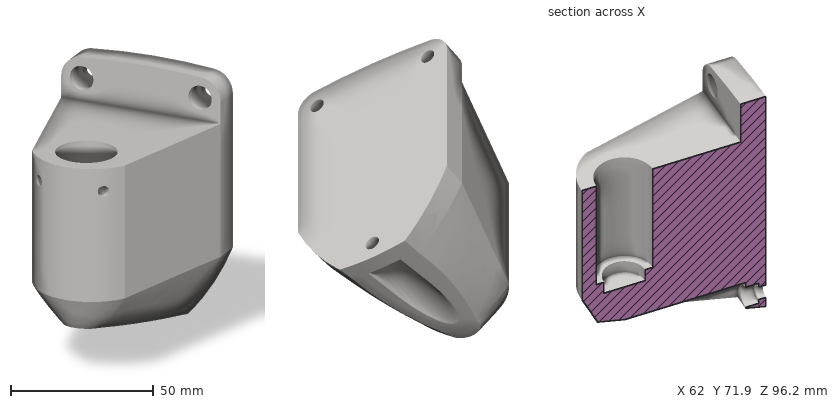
import cadquery as cq
import math


PLATE_WIDTH = 62.0
PLATE_THICKNESS = 10.0
PLATE_TOP = 67.3
PLATE_CROWN_RADIUS = 250.0
PLATE_CORNER_RADIUS = 8.0

BODY_HEIGHT = 50.0
BODY_PROJECTION = 71.94
NOSE_HALF_WIDTH = 18.0
NOSE_START = 61.7

UNDERSIDE_DROP = 28.94
UNDERSIDE_SLOPE = 14.0
UNDERSIDE_ARCH_RADIUS = 85.0
UNDERSIDE_LENGTH = 65.7
UNDERSIDE_BACK_HALF_WIDTH = 12.5
UNDERSIDE_PLATE_HALF_WIDTH = 12.1
UNDERSIDE_SIDE_HALF_WIDTH = 10.1
UNDERSIDE_SIDE_DISTANCE = 41.0
UNDERSIDE_NOSE_HALF_WIDTH = 5.8
UNDERSIDE_NOSE_START = 59.4
BACK_BULGE = 1.9
NOSE_BULGE = 1.1

SCREW_DIAMETER = 5.5
SCREW_HEAD_DIAMETER = 9.0
SCREW_SEAT = 3.0
UPPER_SCREW_Z = 58.5
LOWER_SCREW_Z = -21.8
POCKET_WIDTH = 13.2
POCKET_FLOOR = 8.0

SOCKET_DISTANCE = 55.2
SOCKET_DIAMETER = 22.0
SOCKET_DEPTH = 45.0
SOCKET_TIP_DIAMETER = 16.0
SOCKET_TIP_DEPTH = 5.0
SET_SCREW_DIAMETER = 4.0
SET_SCREW_Z = 41.5
SET_SCREW_ANGLE = 45.0

HALF_PLATE = PLATE_WIDTH / 2
CORNER_X = HALF_PLATE - PLATE_CORNER_RADIUS
CROWN_CENTRE_Z = PLATE_TOP - PLATE_CROWN_RADIUS
CORNER_REACH = PLATE_CROWN_RADIUS - PLATE_CORNER_RADIUS
CORNER_Z = CROWN_CENTRE_Z + math.sqrt(CORNER_REACH**2 - CORNER_X**2)
SLOPE_TANGENT = math.tan(math.radians(UNDERSIDE_SLOPE))


def make_plate():
    """Upright plate with a crowned top edge and rounded upper corners."""
    crown_tilt = math.asin(CORNER_X / CORNER_REACH)
    corner_tilt = (math.pi / 2 + crown_tilt) / 2

    def corner_point(tilt, side):
        x = CORNER_X + PLATE_CORNER_RADIUS * math.sin(tilt)
        return side * x, CORNER_Z + PLATE_CORNER_RADIUS * math.cos(tilt)

    return (
        cq.Workplane("XZ")
        .moveTo(-HALF_PLATE, 0)
        .lineTo(HALF_PLATE, 0)
        .lineTo(HALF_PLATE, CORNER_Z)
        .threePointArc(corner_point(corner_tilt, 1), corner_point(crown_tilt, 1))
        .threePointArc((0, PLATE_TOP), corner_point(crown_tilt, -1))
        .threePointArc(corner_point(corner_tilt, -1), (-HALF_PLATE, CORNER_Z))
        .close()
        .extrude(PLATE_THICKNESS)
    )


def make_body():
    """Straight block narrowing from the plate to a rounded nose."""
    return (
        cq.Workplane("XY")
        .moveTo(-HALF_PLATE, -PLATE_THICKNESS)
        .lineTo(-NOSE_HALF_WIDTH, -NOSE_START)
        .threePointArc((0, -BODY_PROJECTION), (NOSE_HALF_WIDTH, -NOSE_START))
        .lineTo(HALF_PLATE, -PLATE_THICKNESS)
        .close()
        .extrude(BODY_HEIGHT)
    )


def section_wire(points):
    """Symmetric closed section through its back, plate, side, nose and tip points on the +X side."""
    back, plate, side, nose, tip = points
    mirror_back, mirror_plate, mirror_side, mirror_nose = (
        cq.Vector(-p.x, p.y, p.z) for p in points[:-1]
    )
    edges = [
        cq.Edge.makeLine(mirror_back, back),
        cq.Edge.makeLine(back, plate),
        cq.Edge.makeSpline([plate, side, nose]),
        cq.Edge.makeThreePointArc(nose, tip, mirror_nose),
        cq.Edge.makeSpline([mirror_nose, mirror_side, mirror_plate]),
        cq.Edge.makeLine(mirror_plate, mirror_back),
    ]
    return cq.Wire.assembleEdges(edges)


def make_underside():
    """Bulged taper from the body footprint down to the sloping face."""
    side_distance = (PLATE_THICKNESS + NOSE_START) / 2
    top = [
        cq.Vector(HALF_PLATE, 0, 0),
        cq.Vector(HALF_PLATE, -PLATE_THICKNESS, 0),
        cq.Vector((HALF_PLATE + NOSE_HALF_WIDTH) / 2, -side_distance, 0),
        cq.Vector(NOSE_HALF_WIDTH, -NOSE_START, 0),
        cq.Vector(0, -BODY_PROJECTION, 0),
    ]
    bottom_outline = [
        (UNDERSIDE_BACK_HALF_WIDTH, 0),
        (UNDERSIDE_PLATE_HALF_WIDTH, PLATE_THICKNESS),
        (UNDERSIDE_SIDE_HALF_WIDTH, UNDERSIDE_SIDE_DISTANCE),
        (UNDERSIDE_NOSE_HALF_WIDTH, UNDERSIDE_NOSE_START),
        (0, UNDERSIDE_LENGTH),
    ]
    bottom = [cq.Vector(x, -d, d * SLOPE_TANGENT - UNDERSIDE_DROP) for x, d in bottom_outline]
    bulges = [BACK_BULGE, BACK_BULGE, (BACK_BULGE + NOSE_BULGE) / 2, NOSE_BULGE, 0]
    middle = [(t + b) * 0.5 + cq.Vector(g, 0, 0) for t, b, g in zip(top, bottom, bulges)]
    taper = cq.Solid.makeLoft([section_wire(s) for s in (top, middle, bottom)])
    return cq.Workplane(taper).intersect(make_arch())


def make_arch():
    """Long bar with an arched lower side that follows the slope of the underside."""
    overrun = 20.0
    slope_plane = cq.Plane(
        origin=(0, 0, -UNDERSIDE_DROP),
        xDir=(1, 0, 0),
        normal=(0, -1, SLOPE_TANGENT),
    )
    return (
        cq.Workplane(slope_plane)
        .workplane(offset=-overrun)
        .center(0, UNDERSIDE_ARCH_RADIUS)
        .circle(UNDERSIDE_ARCH_RADIUS)
        .extrude(BODY_PROJECTION + 2 * overrun)
    )


def y_cylinder(x, z, diameter, start, end):
    """Cylinder along -Y between two distances from the mounting face."""
    return (
        cq.Workplane("XZ", origin=(x, -start, z))
        .circle(diameter / 2)
        .extrude(end - start)
    )


def screw_cutter(x, z):
    """Through hole with a counterbore opening toward -Y."""
    hole = y_cylinder(x, z, SCREW_DIAMETER, 0, PLATE_THICKNESS)
    return hole.union(y_cylinder(x, z, SCREW_HEAD_DIAMETER, SCREW_SEAT, PLATE_THICKNESS))


def lower_pocket():
    """Round-topped recess that opens the sloping face down to the lower screw seat."""
    half = POCKET_WIDTH / 2
    return (
        cq.Workplane("XZ", origin=(0, -POCKET_FLOOR, LOWER_SCREW_Z))
        .moveTo(-half, -UNDERSIDE_DROP)
        .lineTo(half, -UNDERSIDE_DROP)
        .lineTo(half, 0)
        .threePointArc((0, half), (-half, 0))
        .close()
        .extrude(BODY_PROJECTION)
    )


def socket_cutter():
    """Vertical blind bore with a narrower bottom."""
    mouth = cq.Workplane("XY", origin=(0, -SOCKET_DISTANCE, BODY_HEIGHT))
    bore = mouth.circle(SOCKET_DIAMETER / 2).extrude(-SOCKET_DEPTH)
    tip = mouth.circle(SOCKET_TIP_DIAMETER / 2).extrude(-SOCKET_DEPTH - SOCKET_TIP_DEPTH)
    return bore.union(tip)


def set_screw_cutter(side):
    """Horizontal radial hole from the socket axis out through the nose."""
    angle = math.radians(SET_SCREW_ANGLE)
    plane = cq.Plane(
        origin=(0, -SOCKET_DISTANCE, SET_SCREW_Z),
        xDir=(0, 0, 1),
        normal=(side * math.sin(angle), -math.cos(angle), 0),
    )
    return cq.Workplane(plane).circle(SET_SCREW_DIAMETER / 2).extrude(SOCKET_DIAMETER)


result = make_plate().union(make_body()).union(make_underside())
result = result.cut(lower_pocket()).cut(socket_cutter())
for screw_x, screw_z in ((-CORNER_X, UPPER_SCREW_Z), (CORNER_X, UPPER_SCREW_Z), (0, LOWER_SCREW_Z)):
    result = result.cut(screw_cutter(screw_x, screw_z))
for set_screw_side in (-1, 1):
    result = result.cut(set_screw_cutter(set_screw_side))